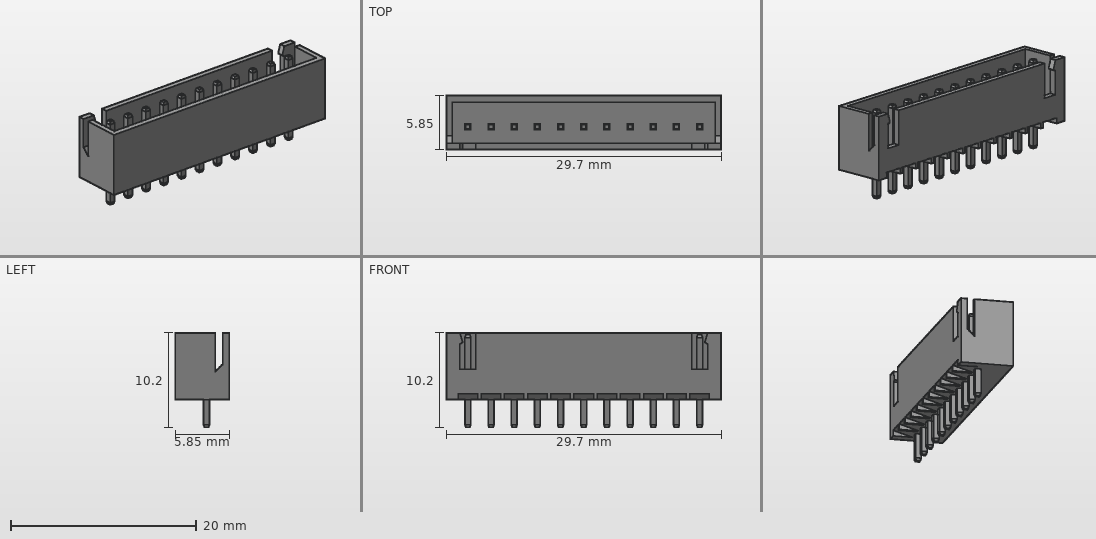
import cadquery as cq


length = 29.67
depth = 5.85
height = 7.2
overall_height = 10.2
front_wall = 0.7
back_wall = 0.7
end_wall = 0.65
floor_top = 0.7

pin_count = 11
pin_row_length = 25.0
pitch = pin_row_length / (pin_count - 1)
pin_width = 0.65
pin_row_setback = 2.45
pin_tail = overall_height - height
pin_top_gap = 0.25
tip_width = 0.45
tip_height = 0.3

key_slot_width = 1.72
key_slot_depth = 3.92
barb_reach = 0.3
barb_peak_drop = 1.05
barb_base_drop = 1.22

end_slot_width = 0.8
end_slot_depth = 4.18

relief_width = 2.1
relief_height = 0.62
relief_depth = pin_row_setback - pin_width / 2

front_y = -depth / 2
inner_front_y = front_y + front_wall
pin_y = front_y + pin_row_setback
pin_xs = [(i - (pin_count - 1) / 2) * pitch for i in range(pin_count)]


def make_shell():
    """Rectangular block with the mating cavity opened from above."""
    block = cq.Workplane("XY").box(length, depth, height, centered=(True, True, False))
    cavity = (
        cq.Workplane("XY")
        .box(
            length - 2 * end_wall,
            depth - front_wall - back_wall,
            height - floor_top,
            centered=(True, False, False),
        )
        .translate((0, inner_front_y, floor_top))
    )
    return block.cut(cavity)


def make_key_slot(pin_x):
    """Cutter for a front wall slot; its outer side keeps a pointed retaining barb."""
    outward = 1 if pin_x > 0 else -1
    outer_x = pin_x + outward * key_slot_width / 2
    inner_x = pin_x - outward * key_slot_width / 2
    slot_bottom = height - key_slot_depth
    outline = [
        (inner_x, height),
        (outer_x, height),
        (outer_x - outward * barb_reach, height - barb_peak_drop),
        (outer_x, height - barb_base_drop),
        (outer_x, slot_bottom),
        (inner_x, slot_bottom),
    ]
    return cq.Workplane("XZ", origin=(0, front_y, 0)).polyline(outline).close().extrude(-front_wall)


def make_end_slots():
    """Cutter through both end walls with a 45 degree bottom rising to the front."""
    slot_back_y = inner_front_y + end_slot_width
    slot_bottom = height - end_slot_depth
    outline = [
        (inner_front_y, height),
        (slot_back_y, height),
        (slot_back_y, slot_bottom),
        (inner_front_y, slot_bottom + end_slot_width),
    ]
    return cq.Workplane("YZ").polyline(outline).close().extrude(length / 2, both=True)


def make_relief(pin_x):
    """Wedge cutter that bevels the lower front edge in line with a pin."""
    outline = [
        (front_y, 0),
        (front_y, relief_height),
        (front_y + relief_depth, 0),
    ]
    wedge = cq.Workplane("YZ").polyline(outline).close().extrude(relief_width / 2, both=True)
    return wedge.translate((pin_x, 0, 0))


def make_tip(base_z, tip_z):
    """Square frustum narrowing from the pin section to the flat tip."""
    return (
        cq.Workplane("XY", origin=(0, 0, base_z))
        .rect(pin_width, pin_width)
        .workplane(offset=tip_z - base_z)
        .rect(tip_width, tip_width)
        .loft(ruled=True)
    )


def make_pin():
    """Square pin with both ends tapered, centred on the Z axis."""
    top_z = height - pin_top_gap
    shank_top = top_z - tip_height
    shank_bottom = tip_height - pin_tail
    shank = (
        cq.Workplane("XY", origin=(0, 0, shank_bottom))
        .rect(pin_width, pin_width)
        .extrude(shank_top - shank_bottom)
    )
    return shank.union(make_tip(shank_top, top_z)).union(make_tip(shank_bottom, -pin_tail))


result = make_shell().cut(make_end_slots())

for end_pin_x in (pin_xs[0], pin_xs[-1]):
    result = result.cut(make_key_slot(end_pin_x))

for x in pin_xs:
    result = result.cut(make_relief(x))

pin = make_pin()
for x in pin_xs:
    result = result.union(pin.translate((x, pin_y, 0)))